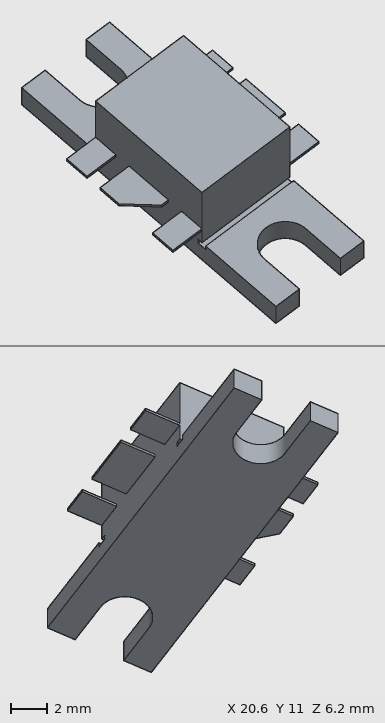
import cadquery as cq

flange_length = 20.6
flange_width = 6.63
flange_thickness = 1.57

slot_width = 3.1
slot_centre_x = 7.5

groove_inner_x = 4.0
groove_outer_x = 4.61
groove_depth = 0.3

body_length = 8.61
total_height = 6.2

lead_span = 11.0
lead_thickness = 0.19
lead_bottom_z = 2.68
side_lead_width = 1.65
centre_lead_width = 3.2
lead_corner_cut = 1.67


def block(length, width, bottom_z, top_z, centre_x=0.0):
    """Rectangular block centred on Y between two heights."""
    return (
        cq.Workplane("XY", origin=(centre_x, 0, bottom_z))
        .rect(length, width)
        .extrude(top_z - bottom_z)
    )


def mounting_slot(side):
    """Cutter for a round-bottomed slot open to one end of the flange."""
    end_x = side * flange_length / 2
    centre_x = side * slot_centre_x
    tip_x = side * (slot_centre_x - slot_width / 2)
    return (
        cq.Workplane("XY")
        .moveTo(end_x, slot_width / 2)
        .lineTo(centre_x, slot_width / 2)
        .threePointArc((tip_x, 0), (centre_x, -slot_width / 2))
        .lineTo(end_x, -slot_width / 2)
        .close()
        .extrude(flange_thickness)
    )


def relief_groove(side):
    """Cutter for a groove across the full width of the flange."""
    return block(
        groove_outer_x - groove_inner_x,
        flange_width,
        flange_thickness - groove_depth,
        flange_thickness,
        side * (groove_inner_x + groove_outer_x) / 2,
    )


def make_flange():
    flange = block(flange_length, flange_width, 0, flange_thickness)
    for side in (-1, 1):
        flange = flange.cut(mounting_slot(side)).cut(relief_groove(side))
    return flange


def lead(width, centre_x=0.0):
    return block(width, lead_span, lead_bottom_z, lead_bottom_z + lead_thickness, centre_x)


def make_leads():
    """One wide lead with a cut -Y corner, and a narrow lead flush with each body end."""
    leads = lead(centre_lead_width).edges("|Z and >X and <Y").chamfer(lead_corner_cut)
    side_lead_x = (body_length - side_lead_width) / 2
    for side in (-1, 1):
        leads = leads.add(lead(side_lead_width, side * side_lead_x))
    return leads.combine()


body = block(body_length, flange_width, flange_thickness, total_height)
result = make_flange().union(body).union(make_leads())